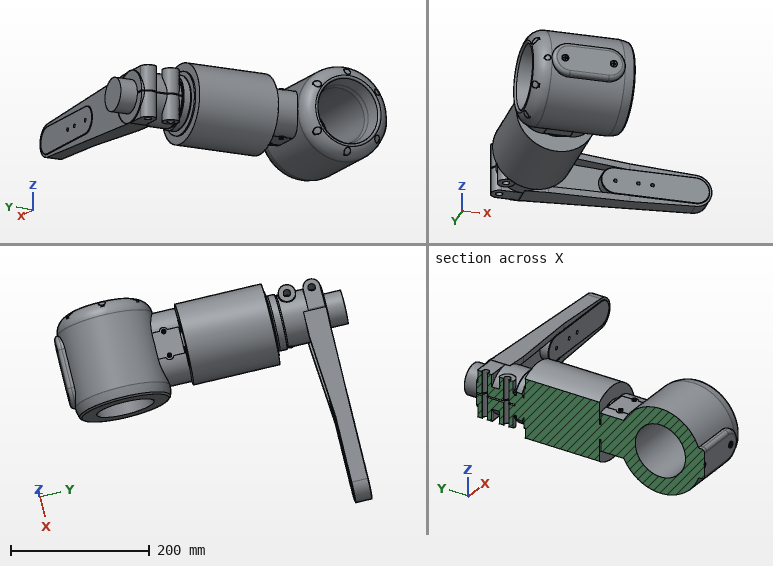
import cadquery as cq
import math

CLEARANCE = 4.0
OVERALL_WIDTH = 363.5
OVERALL_LENGTH = 418.2

HEAD_RADIUS = 141.0 / 2
HEAD_LEFT = -78.5
HEAD_RIGHT = 71.5
BARREL_HALF = 54.8
LIP_OUTER_RADIUS = 53.0
LIP_INNER_RADIUS = 49.0
LIP_DEPTH = 3.5
BORE_RADIUS = 42.5
SEAT_RADIUS = 44.5
SEAT_X = -54.0
BORE_START_X = -45.0
NOSE_RADIUS = 24.0
REAR_ROUND_RADIUS = 36.0
REAR_ROUND_END_X = 69.0
REAR_CHAMFER_DROP = 3.0

PLUG_DIAMETER = 10.5
PLUG_GAP = 0.5
PLUG_GAP_END_X = -68.5
PLUG_CIRCLE_RADIUS = 60.0
PLUG_ANGLES = (36, 90, 144, 216, 270, 324)
SIDE_PLUG_DIAMETER = 8.8
SIDE_PLUG_X = -61.0
SIDE_PLUG_GAP_END_Y = -66.0

PAD_LENGTH = 2 * BARREL_HALF
PAD_HEIGHT = 51.0
PAD_FACE_Y = -76.0
PAD_BASE_Y = -64.5
PAD_ROUND = 6.0
PAD_SCREW_X = 36.5
PAD_SCREW_DIAMETER = 10.0
PAD_SCREW_GAP = 0.5
PAD_SCREW_CROSS = 5.0
SCREW_SLOT_WIDTH = 1.3
SCREW_SLOT_DEPTH = 1.3

NECK_WIDTH = 2 * BARREL_HALF
NECK_THICKNESS = 70.0
NECK_TOP_Y = 102.5
NECK_START_Y = 52.3
PLATE_WIDTH = 39.7
PLATE_RAISE = 0.2
PLATE_SCREW_X = 18.0
PLATE_SCREW_Y = 78.0
PLATE_TAB_DIAMETER = 12.5
PLATE_SCREW_DIAMETER = 6.3
PLATE_SCREW_CROSS = 3.8
PLATE_SCREW_HEIGHT = 2.5

SPOOL_DIAMETER = 120.0
SPOOL_START_Y = 104.0
SPOOL_END_Y = 232.0
LOWER_DISC_DIAMETER = 72.8
LOWER_DISC_START_Y = 101.0
UPPER_DISC_DIAMETER = 94.5
UPPER_DISC_END_Y = 234.0
COLLAR_DIAMETER = 82.0
COLLAR_START_Y = 235.0
COLLAR_END_Y = 247.5
COLLAR_CHAMFER = 2.0
HUB_DIAMETER = 77.8
HUB_START_Y = 249.5
HUB_END_Y = 315.5
SPACER_DIAMETER = 76.0
SHAFT_DIAMETER = 50.0
SHAFT_END_Y = PAD_FACE_Y + OVERALL_LENGTH

SET_SCREW_DIAMETER = 6.5
SET_SCREW_Y = 253.0
SET_SCREW_END_X = 40.0

LUG_DIAMETER = 25.0
LUG_HOLE_DIAMETER = 10.5
LUG_X = -31.0
LUG_LENGTH = HUB_DIAMETER
UPPER_LUG_Y = 301.0
LOWER_LUG_Y = 264.5
SLIT_WIDTH = 1.5

LEVER_END_X = HEAD_LEFT + OVERALL_WIDTH
LEVER_START_X = 1.5
LEVER_BACK_Y = 314.5
LEVER_ROOT_Y = 281.0
LEVER_GRIP_Y = 290.5
LEVER_SLOPE_START_X = 37.5
LEVER_SLOPE_END_X = 162.0
LEVER_ROOT_HALF = HUB_DIAMETER / 2
LEVER_TIP_RADIUS = 25.0
LEVER_WALL = 10.0
GRIP_START_X = 118.8
GRIP_END_X = 281.5
GRIP_HEIGHT = 42.0
GRIP_RAISE = 1.0
GRIP_HOLE_DIAMETER = 5.0
GRIP_HOLE_X = (140.0, 174.5, 195.7)


def cylinder_x(diameter, start, end, y):
    return cq.Workplane("YZ", origin=(start, y, 0)).circle(diameter / 2).extrude(end - start)


def cylinder_y(diameter, start, end, x=0):
    return cq.Workplane("XZ", origin=(x, end, 0)).circle(diameter / 2).extrude(end - start)


def cylinder_z(diameter, start, end, x, y):
    return cq.Workplane("XY", origin=(x, y, start)).circle(diameter / 2).extrude(end - start)


def slot_y(length, height, start, end, x=0):
    """Round-ended slot shape with its length along X, extruded along Y."""
    return cq.Workplane("XZ", origin=(x, end, 0)).slot2D(length, height).extrude(end - start)


def ring(plane, diameter, wall, length):
    """Thin-walled tube for cutting the gap around a plug or screw head."""
    return plane.circle(diameter / 2).circle(diameter / 2 - wall).extrude(length)


def cross(plane, span, depth):
    """Cross-shaped screwdriver slot."""
    bar = plane.rect(span, SCREW_SLOT_WIDTH).extrude(depth)
    return bar.union(plane.rect(SCREW_SLOT_WIDTH, span).extrude(depth))


def make_head():
    nose_centre_r = HEAD_RADIUS - NOSE_RADIUS
    nose_x = -BARREL_HALF - math.sqrt(NOSE_RADIUS**2 - (LIP_OUTER_RADIUS - nose_centre_r)**2)
    nose_mid = NOSE_RADIUS * math.sqrt(0.5)
    rear_length = REAR_ROUND_END_X - BARREL_HALF
    rear_centre_r = HEAD_RADIUS - REAR_ROUND_RADIUS
    rear_end_r = rear_centre_r + math.sqrt(REAR_ROUND_RADIUS**2 - rear_length**2)
    rear_mid_r = rear_centre_r + math.sqrt(REAR_ROUND_RADIUS**2 - (rear_length / 2)**2)
    lip_x = HEAD_LEFT + LIP_DEPTH
    lip_mid_r = (LIP_OUTER_RADIUS + LIP_INNER_RADIUS) / 2
    profile = (
        cq.Workplane("XY")
        .moveTo(lip_x, LIP_INNER_RADIUS)
        .threePointArc((HEAD_LEFT, lip_mid_r), (nose_x, LIP_OUTER_RADIUS))
        .threePointArc((-BARREL_HALF - nose_mid, nose_centre_r + nose_mid), (-BARREL_HALF, HEAD_RADIUS))
        .lineTo(BARREL_HALF, HEAD_RADIUS)
        .threePointArc((BARREL_HALF + rear_length / 2, rear_mid_r), (REAR_ROUND_END_X, rear_end_r))
        .lineTo(HEAD_RIGHT, rear_end_r - REAR_CHAMFER_DROP)
        .lineTo(HEAD_RIGHT, BORE_RADIUS)
        .lineTo(BORE_START_X, BORE_RADIUS)
        .lineTo(SEAT_X, SEAT_RADIUS)
        .close()
    )
    return profile.revolve(360, (0, 0, 0), (1, 0, 0))


def cut_plug_gaps(head):
    for angle in PLUG_ANGLES:
        y = PLUG_CIRCLE_RADIUS * math.cos(math.radians(angle))
        z = PLUG_CIRCLE_RADIUS * math.sin(math.radians(angle))
        start = cq.Workplane("YZ", origin=(HEAD_LEFT, y, z))
        head = head.cut(ring(start, PLUG_DIAMETER, PLUG_GAP, PLUG_GAP_END_X - HEAD_LEFT))
    start = cq.Workplane("XZ", origin=(SIDE_PLUG_X, SIDE_PLUG_GAP_END_Y, 0))
    return head.cut(ring(start, SIDE_PLUG_DIAMETER, PLUG_GAP, SIDE_PLUG_GAP_END_Y + HEAD_RADIUS))


def make_pad():
    pad = slot_y(PAD_LENGTH, PAD_HEIGHT, PAD_FACE_Y, PAD_BASE_Y)
    pad = pad.faces("<Y").edges().fillet(PAD_ROUND)
    for x in (-PAD_SCREW_X, PAD_SCREW_X):
        start = cq.Workplane("XZ", origin=(x, PAD_FACE_Y + SCREW_SLOT_DEPTH, 0))
        pad = pad.cut(ring(start, PAD_SCREW_DIAMETER, PAD_SCREW_GAP, SCREW_SLOT_DEPTH))
        pad = pad.cut(cross(start, PAD_SCREW_CROSS, SCREW_SLOT_DEPTH))
    return pad


def make_neck():
    neck = slot_y(NECK_WIDTH, NECK_THICKNESS, NECK_START_Y, NECK_TOP_Y)
    half_plate = NECK_THICKNESS / 2 + PLATE_RAISE
    plate = cq.Workplane("XY").box(
        PLATE_WIDTH, LOWER_DISC_START_Y - NECK_START_Y, 2 * half_plate
    ).translate((0, (LOWER_DISC_START_Y + NECK_START_Y) / 2, 0))
    neck = neck.union(plate)
    half_screw = NECK_THICKNESS / 2 + PLATE_SCREW_HEIGHT
    for x in (-PLATE_SCREW_X, PLATE_SCREW_X):
        neck = neck.union(cylinder_z(PLATE_TAB_DIAMETER, -half_plate, half_plate, x, PLATE_SCREW_Y))
        neck = neck.union(cylinder_z(PLATE_SCREW_DIAMETER, -half_screw, half_screw, x, PLATE_SCREW_Y))
        for end_z, inward in ((half_screw, -1), (-half_screw, 1)):
            end = cq.Workplane("XY", origin=(x, PLATE_SCREW_Y, end_z))
            neck = neck.cut(cross(end, PLATE_SCREW_CROSS, inward * SCREW_SLOT_DEPTH))
    return neck


def make_spindle():
    collar = cylinder_y(COLLAR_DIAMETER, COLLAR_START_Y, COLLAR_END_Y)
    collar = collar.faces("<Y").edges().chamfer(COLLAR_CHAMFER)
    spindle = cylinder_y(SHAFT_DIAMETER, SPOOL_START_Y, SHAFT_END_Y)
    for body in (
        cylinder_y(LOWER_DISC_DIAMETER, LOWER_DISC_START_Y, SPOOL_START_Y),
        cylinder_y(SPOOL_DIAMETER, SPOOL_START_Y, SPOOL_END_Y),
        cylinder_y(UPPER_DISC_DIAMETER, SPOOL_END_Y, UPPER_DISC_END_Y),
        cylinder_y(SPACER_DIAMETER, UPPER_DISC_END_Y, HUB_START_Y),
        collar,
    ):
        spindle = spindle.union(body)
    return spindle


def make_lever():
    side = (
        cq.Workplane("XY", origin=(0, 0, -LEVER_ROOT_HALF))
        .moveTo(LEVER_START_X, LEVER_BACK_Y)
        .lineTo(LEVER_START_X, LEVER_ROOT_Y)
        .lineTo(LEVER_SLOPE_START_X, LEVER_ROOT_Y)
        .lineTo(LEVER_SLOPE_END_X, LEVER_GRIP_Y)
        .lineTo(LEVER_END_X, LEVER_GRIP_Y)
        .lineTo(LEVER_END_X, LEVER_BACK_Y)
        .close()
        .extrude(2 * LEVER_ROOT_HALF)
    )
    tip_centre_x = LEVER_END_X - LEVER_TIP_RADIUS
    outline = (
        cq.Workplane("XZ", origin=(0, LEVER_BACK_Y, 0))
        .moveTo(LEVER_START_X, -LEVER_ROOT_HALF)
        .lineTo(tip_centre_x, -LEVER_TIP_RADIUS)
        .threePointArc((LEVER_END_X, 0), (tip_centre_x, LEVER_TIP_RADIUS))
        .lineTo(LEVER_START_X, LEVER_ROOT_HALF)
        .close()
        .extrude(LEVER_BACK_Y - LEVER_ROOT_Y)
    )
    lever = side.intersect(outline)

    taper = (LEVER_ROOT_HALF - LEVER_TIP_RADIUS) / (tip_centre_x - LEVER_START_X)
    root_half = LEVER_ROOT_HALF - LEVER_WALL
    end_half = root_half - taper * (LEVER_SLOPE_END_X - LEVER_START_X)
    pocket = (
        cq.Workplane("XZ", origin=(0, LEVER_BACK_Y - LEVER_WALL, 0))
        .polyline([
            (LEVER_START_X, -root_half), (LEVER_SLOPE_END_X, -end_half),
            (LEVER_SLOPE_END_X, end_half), (LEVER_START_X, root_half),
        ])
        .close()
        .extrude(LEVER_BACK_Y - LEVER_ROOT_Y)
    )
    grip = slot_y(
        GRIP_END_X - GRIP_START_X, GRIP_HEIGHT,
        LEVER_GRIP_Y - GRIP_RAISE, LEVER_BACK_Y + GRIP_RAISE, (GRIP_START_X + GRIP_END_X) / 2,
    ).faces("<Y or >Y").edges().chamfer(GRIP_RAISE)
    lever = lever.cut(pocket).union(grip)
    for x in GRIP_HOLE_X:
        lever = lever.cut(cylinder_y(GRIP_HOLE_DIAMETER, LEVER_ROOT_Y, LEVER_BACK_Y + CLEARANCE, x))
    return lever


def make_clamp():
    """Hub with two vertical bolt lugs on the -X side and a set screw on the +X side."""
    clamp = cylinder_y(HUB_DIAMETER, HUB_START_Y, HUB_END_Y)
    clamp = clamp.union(cylinder_x(SET_SCREW_DIAMETER, SHAFT_DIAMETER / 2, SET_SCREW_END_X, SET_SCREW_Y))
    half = LUG_LENGTH / 2
    block = cq.Workplane("XY").box(-LUG_X, LUG_DIAMETER, LUG_LENGTH).translate((LUG_X / 2, UPPER_LUG_Y, 0))
    clamp = clamp.union(block)
    for y in (LOWER_LUG_Y, UPPER_LUG_Y):
        clamp = clamp.union(cylinder_z(LUG_DIAMETER, -half, half, LUG_X, y))
    return clamp


def cut_clamp_details(body):
    """Bolt holes through the lugs, and the clamping slit from the lugs to the shaft."""
    for y in (LOWER_LUG_Y, UPPER_LUG_Y):
        body = body.cut(cylinder_z(LUG_HOLE_DIAMETER, -LUG_LENGTH, LUG_LENGTH, LUG_X, y))
    slit_start_x = LUG_X - LUG_DIAMETER
    slit = cq.Workplane("XY").box(
        -SHAFT_DIAMETER / 2 - slit_start_x, HUB_END_Y - HUB_START_Y, SLIT_WIDTH
    ).translate(((slit_start_x - SHAFT_DIAMETER / 2) / 2, (HUB_START_Y + HUB_END_Y) / 2, 0))
    return body.cut(slit)


head = cut_plug_gaps(make_head())
handle = cut_clamp_details(make_clamp().union(make_lever()))
result = head.union(make_pad()).union(make_neck()).union(make_spindle()).union(handle)